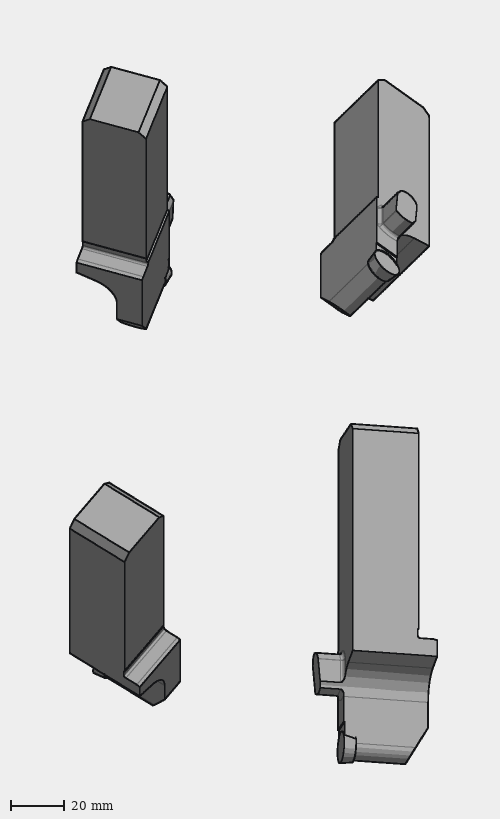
import cadquery as cq
import math


length = 128.4
shank_width = 25.2
back_y = 32.5
shank_front_y = 7.0
end_chamfer = 3.0

ledge_z = 44.3
ledge_chamfer_y = 1.5
ledge_chamfer_z = 0.4
relief_depth = 0.4
relief_top_z = 48.2
relief_fillet = 0.9
side_step_z = 45.5

blade_width = 10.0
blade_right_x = 26.0
blade_left_x = blade_right_x - blade_width
blade_center_x = blade_right_x - blade_width / 2
blade_end_radius = blade_width / 2
blade_end_center_z = 6.4
head_corner_z = 37.5
head_slope = math.radians(15)
blade_arc_end_z = 24.7
bevel_top_z = 14.5
bevel_depth = 7.6
insert_clearance = 0.4

insert_radius = 6.0
insert_seat_radius = 5.4
insert_thickness = 4.8

boss_left_x = 14.8
boss_right_x = 24.3
boss_center_x = (boss_left_x + boss_right_x) / 2
boss_top_z = 42.1
boss_shoulder_z = 38.5
boss_facet_x = 22.9
boss_facet_z = 40.8
boss_low_shoulder_z = 27.7
boss_bottom_z = 26.3
boss_tip_y = 42.9
boss_tip_setback = 1.4
boss_base_fillet = 1.5
boss_corner_fillet = 0.3
base_plate_thickness = 3.9
edge_search_margin = 0.4

underside_drop = math.tan(head_slope)
underside_at_blade_z = head_corner_z - blade_left_x * underside_drop
blade_arc_radius = (underside_at_blade_z - blade_arc_end_z) / (1 / math.cos(head_slope) - underside_drop)
blade_arc_center_x = blade_left_x - blade_arc_radius


def blade_arc_point(angle):
    """Point on the blade arc, with the angle measured from +X toward +Z."""
    return (
        blade_arc_center_x + blade_arc_radius * math.cos(angle),
        blade_arc_end_z + blade_arc_radius * math.sin(angle),
    )


def front_plane(y):
    """XZ plane at the given Y; positive extrusion runs toward -Y."""
    return cq.Plane(origin=(0, y, 0), xDir=(1, 0, 0), normal=(0, -1, 0))


def make_silhouette():
    """X-Z outline of shank, head and blade, extruded past the boss tip."""
    arc_start_angle = math.pi / 2 - head_slope
    side_step = blade_right_x - shank_width
    return (
        cq.Workplane(front_plane(0))
        .moveTo(0, head_corner_z)
        .lineTo(*blade_arc_point(arc_start_angle))
        .threePointArc(blade_arc_point(arc_start_angle / 2), blade_arc_point(0))
        .lineTo(blade_left_x, blade_end_center_z)
        .threePointArc(
            (blade_center_x, blade_end_center_z - blade_end_radius),
            (blade_right_x, blade_end_center_z),
        )
        .lineTo(blade_right_x, side_step_z)
        .lineTo(shank_width, side_step_z + side_step)
        .lineTo(shank_width, length - end_chamfer)
        .lineTo(shank_width - end_chamfer, length)
        .lineTo(end_chamfer, length)
        .lineTo(0, length - end_chamfer)
        .close()
        .extrude(-2 * boss_tip_y)
    )


def make_side_profile():
    """Y-Z outline of shank, ledge and bevelled blade, extruded across the width."""
    relief_y = shank_front_y + relief_depth
    clearance_y = back_y - insert_clearance
    blade_bottom_z = blade_end_center_z - blade_end_radius
    fillet_mid = relief_fillet * (1 - math.sqrt(0.5))
    return (
        cq.Workplane("YZ")
        .moveTo(0, bevel_top_z)
        .lineTo(bevel_depth, blade_bottom_z)
        .lineTo(clearance_y, blade_bottom_z)
        .lineTo(clearance_y, bevel_top_z)
        .lineTo(back_y, bevel_top_z)
        .lineTo(back_y, length)
        .lineTo(shank_front_y, length)
        .lineTo(shank_front_y, relief_top_z)
        .lineTo(relief_y, relief_top_z - relief_depth)
        .lineTo(relief_y, ledge_z + relief_fillet)
        .threePointArc(
            (relief_y - fillet_mid, ledge_z + fillet_mid),
            (relief_y - relief_fillet, ledge_z),
        )
        .lineTo(ledge_chamfer_y, ledge_z)
        .lineTo(0, ledge_z - ledge_chamfer_z)
        .close()
        .extrude(blade_right_x)
    )


def add_boss(body):
    """Add the boss, its filleted base and its slanted tip."""
    boss = (
        cq.Workplane(front_plane(back_y))
        .moveTo(boss_left_x, boss_low_shoulder_z)
        .threePointArc((boss_center_x, boss_bottom_z), (boss_right_x, boss_low_shoulder_z))
        .lineTo(boss_right_x, boss_shoulder_z)
        .lineTo(boss_facet_x, boss_facet_z)
        .threePointArc((boss_center_x, boss_top_z), (boss_left_x, boss_shoulder_z))
        .close()
        .extrude(2 * (back_y - boss_tip_y))
    )
    rounded_corners = cq.selectors.BoxSelector(
        (0, back_y, 0), (blade_right_x, 2 * boss_tip_y, (boss_shoulder_z + boss_facet_z) / 2)
    )
    boss = boss.edges("|Y").edges(rounded_corners).fillet(boss_corner_fillet)
    base_plate = (
        cq.Workplane(front_plane(back_y))
        .rect(2 * length, 2 * length)
        .extrude(base_plate_thickness)
    )
    base_edges = cq.selectors.BoxSelector(
        (0, back_y - edge_search_margin, 0), (blade_right_x, back_y + edge_search_margin, length / 2)
    )
    flared_boss = base_plate.union(boss).edges(base_edges).fillet(boss_base_fillet)
    tip_slope = boss_tip_setback / (boss_top_z - boss_bottom_z)
    boss_envelope = (
        cq.Workplane("YZ")
        .moveTo(back_y, 0)
        .lineTo(back_y, length / 2)
        .lineTo(boss_tip_y + tip_slope * (length / 2 - boss_top_z), length / 2)
        .lineTo(boss_tip_y - tip_slope * boss_top_z, 0)
        .close()
        .extrude(blade_right_x)
    )
    return body.union(flared_boss.intersect(boss_envelope))


def make_insert():
    """Round insert, wide at the cutting face and narrower at its seat."""
    return (
        cq.Workplane(front_plane(back_y))
        .center(blade_center_x, insert_radius)
        .circle(insert_radius)
        .workplane(offset=insert_thickness)
        .circle(insert_seat_radius)
        .loft(ruled=True)
    )


def make_holder(insert):
    """Shank, head, blade and boss, with a seat for the insert."""
    body = add_boss(make_side_profile()).intersect(make_silhouette())
    return body.cut(insert).solids()


insert = make_insert()
holder = make_holder(insert)

result = cq.Compound.makeCompound([holder.val(), insert.val()])